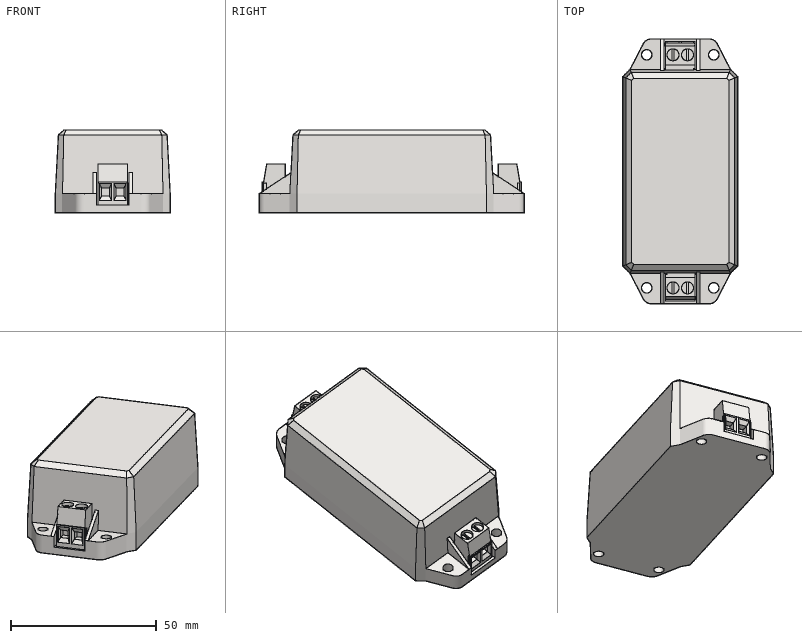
import cadquery as cq
import math

LENGTH = 91.0
WIDTH = 39.5
HEIGHT = 28.5
BASE_HEIGHT = 6.6

BODY_LENGTH = 70.0
CORNER_CUT = 2.5
DRAFT = 3.0
BEVEL_HEIGHT = 1.75
BEVEL_INSET = 2.0

TAB_TIP_WIDTH = 23.7
TAB_RADIUS = 3.3
HOLE_DIAMETER = 3.5
HOLE_X = 11.5
HOLE_Y = 40.0

POCKET_WIDTH = 11.2
POCKET_FLOOR = 2.7
RIB_THICKNESS = 1.2
RIB_HEIGHT = 7.2

BLOCK_WIDTH = 10.1
BLOCK_TOP = 16.8
BLOCK_BACK = 34.2
TOWER_BACK = 36.5
TOWER_FRONT = 42.95
SLOPE_FOOT = 44.0
BLOCK_FRONT = 44.5
LIP_TOP = 10.65
STEP_TOP = 10.2

POLE_PITCH = 5.0
SCREW_DIAMETER = 4.1
SCREW_DEPTH = 1.2
SLOT_WIDTH = 0.8
SLOT_DEPTH = 0.8
ENTRY_WIDTH = 4.2
ENTRY_BOTTOM = 4.3
ENTRY_TOP = 10.1
FUNNEL_DEPTH = 1.0
THROAT_SIZE = 2.75
THROAT_DEPTH = 2.5
THROAT_BOTTOM = 5.75

TONGUE_DEPTH = 0.4
GROOVE_DEPTH = 0.55
DOVETAIL_ROOT = 0.65
DOVETAIL_TIP = 1.05
DOVETAIL_CENTRES = (34.85, 43.5)


def housing_footprint(plane):
    """Housing footprint: a rectangle with its corners cut at 45 degrees."""
    return (
        plane.sketch()
        .rect(WIDTH, BODY_LENGTH)
        .vertices()
        .chamfer(CORNER_CUT)
        .finalize()
    )


def make_housing():
    """Straight base, drafted walls and a bevelled lid."""
    base = housing_footprint(cq.Workplane()).extrude(BASE_HEIGHT)
    wall_height = HEIGHT - BEVEL_HEIGHT - BASE_HEIGHT
    walls = housing_footprint(cq.Workplane().workplane(offset=BASE_HEIGHT)).extrude(wall_height, taper=DRAFT)
    bevel_angle = math.degrees(math.atan2(BEVEL_INSET, BEVEL_HEIGHT))
    lid = walls.faces(">Z").wires().toPending().extrude(BEVEL_HEIGHT, combine=False, taper=bevel_angle)
    return base.union(walls).union(lid)


def make_tabs():
    """One plate through the base, forming the tab at either end."""
    root_x = WIDTH / 2 - CORNER_CUT
    root_y = BODY_LENGTH / 2
    tip_x = TAB_TIP_WIDTH / 2
    tip_y = LENGTH / 2
    outline = [
        (-root_x, -root_y),
        (-tip_x, -tip_y),
        (tip_x, -tip_y),
        (root_x, -root_y),
        (root_x, root_y),
        (tip_x, tip_y),
        (-tip_x, tip_y),
        (-root_x, root_y),
    ]
    plate = cq.Workplane().polyline(outline).close().extrude(BASE_HEIGHT)
    return plate.edges("|Z and (<Y or >Y)").fillet(TAB_RADIUS)


def make_holes():
    """Cutters for the four screw holes in the tabs."""
    return (
        cq.Workplane()
        .rect(2 * HOLE_X, 2 * HOLE_Y, forConstruction=True)
        .vertices()
        .circle(HOLE_DIAMETER / 2)
        .extrude(BASE_HEIGHT)
    )


def side_profile(points, x_start, thickness):
    """Extrude a (Y, Z) outline along +X from x_start."""
    return cq.Workplane("YZ", origin=(x_start, 0, 0)).polyline(points).close().extrude(thickness)


def make_pocket():
    """Open-topped pocket in the -Y tab, from the housing wall to the tab tip."""
    points = [
        (-LENGTH / 2, POCKET_FLOOR),
        (-BODY_LENGTH / 2, POCKET_FLOOR),
        (-BODY_LENGTH / 2, BASE_HEIGHT),
        (-LENGTH / 2, BASE_HEIGHT),
    ]
    return side_profile(points, -POCKET_WIDTH / 2, POCKET_WIDTH)


def make_ribs():
    """Triangular guard ribs on both sides of the -Y pocket."""
    wall_y = BODY_LENGTH / 2 - RIB_HEIGHT * math.tan(math.radians(DRAFT))
    points = [
        (-LENGTH / 2, BASE_HEIGHT),
        (-wall_y, BASE_HEIGHT),
        (-wall_y, BASE_HEIGHT + RIB_HEIGHT),
    ]
    left = side_profile(points, -POCKET_WIDTH / 2 - RIB_THICKNESS, RIB_THICKNESS)
    return left.union(left.mirror("YZ"))


def make_dovetails(face_x, depth):
    """Upright dovetail bars reaching from x = face_x along +X by depth."""
    bars = cq.Workplane()
    for centre in DOVETAIL_CENTRES:
        points = [
            (face_x, -centre - DOVETAIL_ROOT / 2),
            (face_x + depth, -centre - DOVETAIL_TIP / 2),
            (face_x + depth, -centre + DOVETAIL_TIP / 2),
            (face_x, -centre + DOVETAIL_ROOT / 2),
        ]
        bar = (
            cq.Workplane(origin=(0, 0, POCKET_FLOOR))
            .polyline(points)
            .close()
            .extrude(STEP_TOP - POCKET_FLOOR)
        )
        bars = bars.add(bar)
    return bars.combine()


def make_screw_recess(x):
    """Round recess down to the screw head, with the driver slot below it."""
    head_z = BLOCK_TOP - SCREW_DEPTH
    recess = (
        cq.Workplane(origin=(x, -HOLE_Y, head_z))
        .circle(SCREW_DIAMETER / 2)
        .extrude(SCREW_DEPTH)
    )
    slot_box = (SLOT_WIDTH, SCREW_DIAMETER, 2 * SLOT_DEPTH)
    slot = (
        cq.Workplane(origin=(x, -HOLE_Y, head_z - SLOT_DEPTH))
        .circle(SCREW_DIAMETER / 2)
        .extrude(SLOT_DEPTH)
        .intersect(cq.Workplane(origin=(x, -HOLE_Y, head_z)).box(*slot_box))
    )
    return recess.union(slot)


def make_wire_entry(x):
    """Funnel narrowing from the entry face into a blind square throat."""
    entry_z = (ENTRY_BOTTOM + ENTRY_TOP) / 2
    throat_z = THROAT_BOTTOM + THROAT_SIZE / 2
    funnel = (
        cq.Workplane("XZ", origin=(x, -BLOCK_FRONT, entry_z))
        .rect(ENTRY_WIDTH, ENTRY_TOP - ENTRY_BOTTOM)
        .workplane(offset=-FUNNEL_DEPTH)
        .center(0, throat_z - entry_z)
        .rect(THROAT_SIZE, THROAT_SIZE)
        .loft(ruled=True)
    )
    throat = (
        cq.Workplane("XZ", origin=(x, -BLOCK_FRONT + FUNNEL_DEPTH, throat_z))
        .rect(THROAT_SIZE, THROAT_SIZE)
        .extrude(-THROAT_DEPTH)
    )
    return funnel.union(throat)


def make_terminal_block():
    """Two-pole screw terminal at the -Y end."""
    profile = [
        (-BLOCK_BACK, POCKET_FLOOR),
        (-BLOCK_FRONT, POCKET_FLOOR),
        (-BLOCK_FRONT, LIP_TOP),
        (-SLOPE_FOOT, LIP_TOP),
        (-TOWER_FRONT, BLOCK_TOP),
        (-TOWER_BACK, BLOCK_TOP),
        (-TOWER_BACK, STEP_TOP),
        (-BLOCK_BACK, STEP_TOP),
    ]
    block = side_profile(profile, -BLOCK_WIDTH / 2, BLOCK_WIDTH)
    block = block.union(make_dovetails(BLOCK_WIDTH / 2, TONGUE_DEPTH))
    block = block.cut(make_dovetails(-BLOCK_WIDTH / 2, GROOVE_DEPTH))
    for x in (-POLE_PITCH / 2, POLE_PITCH / 2):
        block = block.cut(make_screw_recess(x))
        block = block.cut(make_wire_entry(x))
    return block


result = make_housing().union(make_tabs()).cut(make_holes())
for turn in (0, 180):
    turn_about_z = ((0, 0, 0), (0, 0, 1), turn)
    result = result.cut(make_pocket().rotate(*turn_about_z))
    result = result.union(make_ribs().rotate(*turn_about_z))
    result = result.union(make_terminal_block().rotate(*turn_about_z))
result = result.solids()